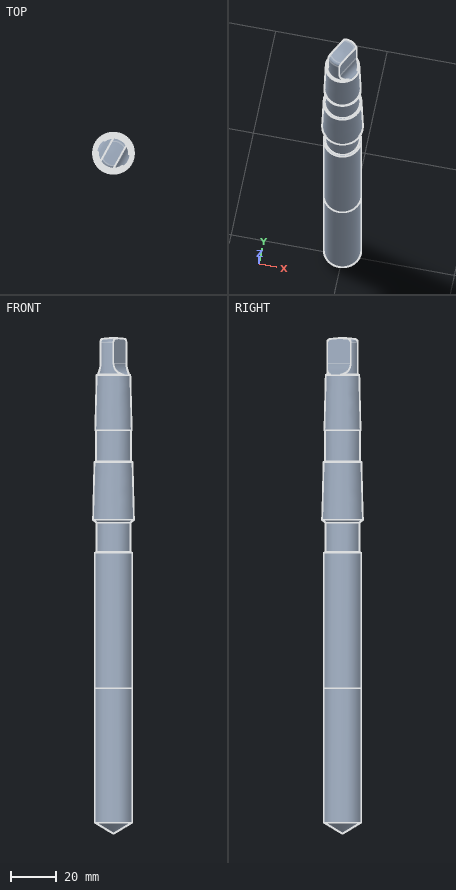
import cadquery as cq
import math

drill_radius = 16.5 / 2
point_angle = 118
point_height = drill_radius / math.tan(math.radians(point_angle / 2))
joint_z = 63.9
body_top_z = 123.8

step_height = 0.5

neck_radius = 15.0 / 2

taper_bottom_z = 136.7
taper_top_z = 201.9
taper_bottom_radius = 18.0 / 2
taper_slope = 1 / 40
bottom_chamfer_height = 1.3
top_chamfer = 0.5
relief_radius = 15.5 / 2
relief_bottom_z = 163.7
relief_top_z = 177.2

total_length = 218
tang_radius = 13.5 / 2
tang_thickness = 6.5
tang_direction = 61
tang_end_round = 1.5
tang_end_drop = 0.7
flat_bottom_z = 206.7
runout_radius = 5.5


def taper_radius(z):
    """Radius of the tapered shank at height z."""
    widest_z = taper_bottom_z + bottom_chamfer_height
    return taper_bottom_radius - (z - widest_z) * taper_slope


def revolve_profile(points):
    """Revolve an outline of (radius, height) points around the Z axis."""
    return cq.Workplane("XZ").polyline(points).close().revolve(360, (0, 0), (0, 1))


def make_cutting_end():
    """Cylinder with a conical drill point."""
    return revolve_profile([
        (0, 0),
        (drill_radius, point_height),
        (drill_radius, joint_z),
        (0, joint_z),
    ])


def make_turned_shank():
    """Drill body, neck, relieved taper and round tang stock with a rounded end rim."""
    turned = revolve_profile([
        (0, joint_z),
        (drill_radius, joint_z),
        (drill_radius, body_top_z - step_height),
        (neck_radius, body_top_z),
        (neck_radius, taper_bottom_z),
        (taper_bottom_radius, taper_bottom_z + bottom_chamfer_height),
        (taper_radius(relief_bottom_z - step_height), relief_bottom_z - step_height),
        (relief_radius, relief_bottom_z),
        (relief_radius, relief_top_z),
        (taper_radius(relief_top_z), relief_top_z),
        (taper_radius(taper_top_z - top_chamfer), taper_top_z - top_chamfer),
        (taper_radius(taper_top_z) - top_chamfer, taper_top_z),
        (tang_radius, taper_top_z),
        (tang_radius, total_length - tang_end_drop),
        (0, total_length),
    ])
    rim_z = total_length - tang_end_drop
    rim_box = cq.selectors.BoxSelector(
        (-tang_radius, -tang_radius, rim_z - tang_end_drop / 4),
        (tang_radius, tang_radius, rim_z + tang_end_drop / 4),
        boundingbox=False,
    )
    return turned.edges("%CIRCLE").edges(rim_box).fillet(tang_end_round)


def make_flat_cutter():
    """Block that cuts one tang flat, with a quarter-round lower inner edge."""
    half_thickness = tang_thickness / 2
    outer_side = half_thickness + 2 * runout_radius
    bottom_z = flat_bottom_z - runout_radius
    arc_drop = runout_radius * math.sin(math.radians(45))
    arc_side = runout_radius - arc_drop
    return (
        cq.Workplane("XZ")
        .moveTo(half_thickness, total_length)
        .lineTo(half_thickness, flat_bottom_z)
        .threePointArc(
            (half_thickness + arc_side, flat_bottom_z - arc_drop),
            (half_thickness + runout_radius, bottom_z),
        )
        .lineTo(outer_side, bottom_z)
        .lineTo(outer_side, total_length)
        .close()
        .extrude(2 * tang_radius, both=True)
    )


def make_shank():
    """Turned shank with the two opposite tang flats cut."""
    shank = make_turned_shank()
    cutter = make_flat_cutter()
    for side in (0, 180):
        turn = tang_direction - 90 + side
        shank = shank.cut(cutter.rotate((0, 0, 0), (0, 0, 1), turn))
    return shank


cutting_end = make_cutting_end()
shank = make_shank()

result = cq.Compound.makeCompound([cutting_end.val(), shank.val()])